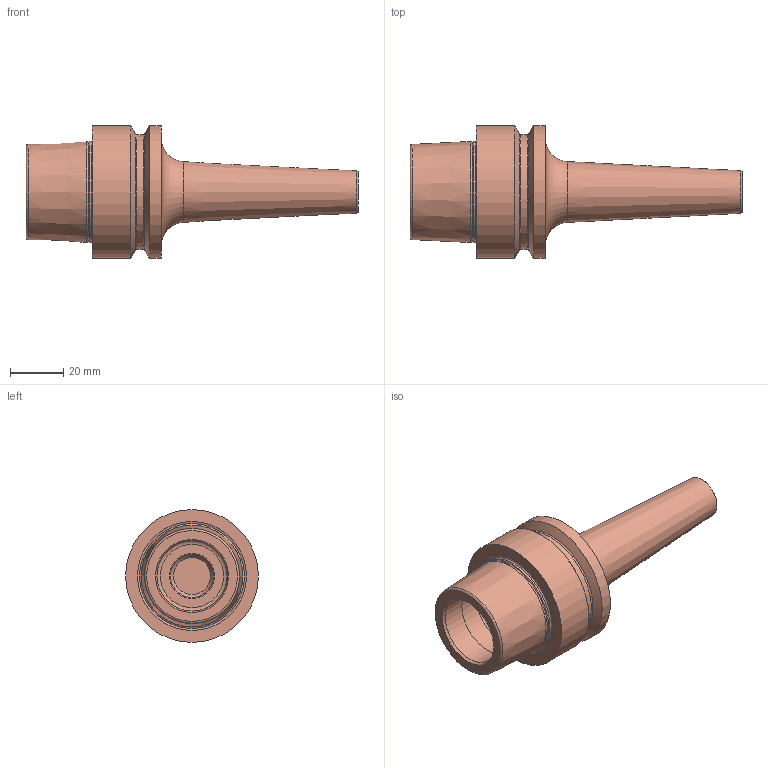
import cadquery as cq
import math

shank_tip_x = 100.0
taper_length = 24.9
flange_width = 26.0
flange_radius = 25.0

taper_large_radius = 19.0
taper_large_x = -2.3
taper_half_angle = math.radians(2.87)
taper_front_x = -taper_length
taper_edge_fillet = 0.8

relief_depth = 0.2
relief_bottom_x = -1.4
neck_start_x = -1.1
neck_radius = 19.15
face_groove_depth = 0.25
face_groove_fillet = 0.6
face_groove_outer_radius = 20.5

groove_floor_radius = 21.55
groove_floor_start = 16.4
groove_floor_end = 19.6
groove_floor_fillet = 0.7
groove_flank_angle = math.radians(30)

shank_tip_radius = 8.0
shank_half_angle = math.radians(3)
shank_root_fillet = 8.8
shank_tip_chamfer = 0.4

lip_radius = 13.2
lip_chamfer_radial = 0.5
lip_chamfer_axial = 1.1
lip_end_x = taper_front_x + 10.0
chamber_radius = 13.7
chamber_floor_x = taper_front_x + 20.0
chamber_floor_fillet = 1.8

center_hole_radius = 8.1
center_hole_chamfer = 0.35
center_hole_depth = 10.0
center_hole_floor_radius = 6.95
center_hole_cone_length = 1.5

arc_midpoint_factor = math.sqrt(0.5)


def taper_radius_at(x):
    return taper_large_radius + (x - taper_large_x) * math.tan(taper_half_angle)


def shank_radius_at(x):
    return shank_tip_radius + (shank_tip_x - x) * math.tan(shank_half_angle)


def revolve_about_x(profile):
    return profile.close().revolve(360, (0, 0, 0), (1, 0, 0))


def circle_at(x, radius):
    """Selector for circular edges centered on the axis at x, up to slightly above the given radius."""
    clearance = 0.05
    reach = radius + clearance
    return cq.selectors.BoxSelector(
        (x - clearance, -reach, -reach),
        (x + clearance, reach, reach),
        boundingbox=True,
    )


def make_outer_body():
    groove_flank = (flange_radius - groove_floor_radius) * math.tan(groove_flank_angle)
    fillet_start_x = face_groove_depth - face_groove_fillet
    face_groove_floor_radius = neck_radius + face_groove_fillet
    face_groove_arc_middle = (
        fillet_start_x + face_groove_fillet * arc_midpoint_factor,
        face_groove_floor_radius - face_groove_fillet * arc_midpoint_factor,
    )
    profile = (
        cq.Workplane("XY")
        .moveTo(taper_front_x, 0)
        .lineTo(taper_front_x, taper_radius_at(taper_front_x))
        .lineTo(taper_large_x, taper_large_radius)
        .lineTo(relief_bottom_x, taper_large_radius - relief_depth)
        .lineTo(neck_start_x, neck_radius)
        .lineTo(fillet_start_x, neck_radius)
        .threePointArc(face_groove_arc_middle, (face_groove_depth, face_groove_floor_radius))
        .lineTo(0, face_groove_outer_radius)
        .lineTo(0, flange_radius)
        .lineTo(groove_floor_start - groove_flank, flange_radius)
        .lineTo(groove_floor_start, groove_floor_radius)
        .lineTo(groove_floor_end, groove_floor_radius)
        .lineTo(groove_floor_end + groove_flank, flange_radius)
        .lineTo(flange_width, flange_radius)
        .lineTo(flange_width, shank_radius_at(flange_width))
        .lineTo(shank_tip_x, shank_tip_radius)
        .lineTo(shank_tip_x, 0)
    )
    body = revolve_about_x(profile)
    body = body.faces("<X").edges().fillet(taper_edge_fillet)
    body = body.faces(">X").edges().chamfer(shank_tip_chamfer)
    groove_corners = circle_at(groove_floor_start, groove_floor_radius)
    groove_corners += circle_at(groove_floor_end, groove_floor_radius)
    body = body.edges(groove_corners).fillet(groove_floor_fillet)
    shank_root = circle_at(flange_width, shank_radius_at(flange_width))
    return body.edges(shank_root).fillet(shank_root_fillet)


def make_clamping_bore():
    fillet_middle = chamber_floor_fillet * (1 - arc_midpoint_factor)
    profile = (
        cq.Workplane("XY")
        .moveTo(taper_front_x, 0)
        .lineTo(taper_front_x, lip_radius + lip_chamfer_radial)
        .lineTo(taper_front_x + lip_chamfer_axial, lip_radius)
        .lineTo(lip_end_x, lip_radius)
        .lineTo(lip_end_x, chamber_radius)
        .lineTo(chamber_floor_x - chamber_floor_fillet, chamber_radius)
        .threePointArc(
            (chamber_floor_x - fillet_middle, chamber_radius - fillet_middle),
            (chamber_floor_x, chamber_radius - chamber_floor_fillet),
        )
        .lineTo(chamber_floor_x, 0)
    )
    return revolve_about_x(profile)


def make_center_hole():
    floor_x = chamber_floor_x + center_hole_depth
    profile = (
        cq.Workplane("XY")
        .moveTo(chamber_floor_x, 0)
        .lineTo(chamber_floor_x, center_hole_radius + center_hole_chamfer)
        .lineTo(chamber_floor_x + center_hole_chamfer, center_hole_radius)
        .lineTo(floor_x - center_hole_cone_length, center_hole_radius)
        .lineTo(floor_x, center_hole_floor_radius)
        .lineTo(floor_x, 0)
    )
    return revolve_about_x(profile)


result = make_outer_body().cut(make_clamping_bore()).cut(make_center_hole())